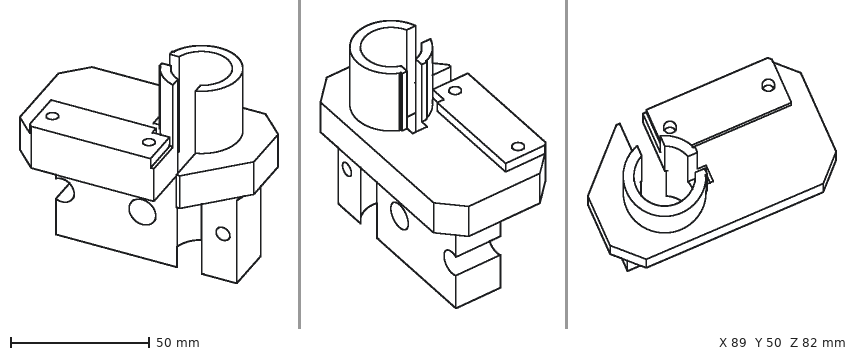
import cadquery as cq
import math

plate_length = 89.0
plate_width = 50.0
plate_thickness = 14.15
left_chamfer = 9.1
back_right_chamfer = 10.0
front_right_chamfer = 20.0

foot_height = 40.8
foot_left = 9.2
foot_right = 82.1
foot_front = 20.0
foot_back = 40.0
gusset_size = 4.8
cross_hole_z = 19.9
cross_holes = [(11.6, 10.0), (44.05, 10.8), (76.5, 5.5)]

total_height = 82.0
tube_x = 63.0
tube_y = 30.0
tube_diameter = 30.0
bore_diameter = 22.25
slit_width = 9.1

flat_width = 12.5
strip_width = 11.0
strip_reach = 14.4
key_width = 6.5
key_reach = 17.8

pad_height = 4.0
pad_left = 7.9
pad_right = 57.1
pad_back = 18.7
pad_notch_length = 6.9
pad_notch_width = 3.0
pad_hole_diameter = 4.5
pad_hole_depth = 10.0
pad_hole_y = 9.4
pad_hole_xs = [13.0, 51.9]

plate_top = foot_height + plate_thickness
pad_top = plate_top + pad_height


def box(x_range, y_range, z_range):
    """Box between two limits along each axis."""
    (x0, x1), (y0, y1), (z0, z1) = x_range, y_range, z_range
    return cq.Workplane("XY").box(x1 - x0, y1 - y0, z1 - z0, centered=False).translate((x0, y0, z0))


def cylinder(x, y, diameter, z_bottom, z_top):
    """Vertical cylinder."""
    disc = cq.Workplane("XY", origin=(x, y, z_bottom)).circle(diameter / 2)
    return disc.extrude(z_top - z_bottom)


def chamfered_plate(height):
    """Plate outline with cut corners, extruded up from the underside of the plate."""
    points = [
        (left_chamfer, 0),
        (plate_length - front_right_chamfer, 0),
        (plate_length, front_right_chamfer),
        (plate_length, plate_width - back_right_chamfer),
        (plate_length - back_right_chamfer, plate_width),
        (left_chamfer, plate_width),
        (0, plate_width - left_chamfer),
        (0, left_chamfer),
    ]
    return cq.Workplane("XY").workplane(offset=foot_height).polyline(points).close().extrude(height)


def foot():
    """Foot block with a sloped gusset under the plate and holes along Y."""
    points = [
        (foot_left, 0),
        (foot_right, 0),
        (foot_right, foot_height - gusset_size),
        (foot_right + gusset_size, foot_height),
        (foot_left, foot_height),
    ]
    profile = cq.Workplane("XZ", origin=(0, foot_back, 0)).polyline(points).close()
    block = profile.extrude(foot_back - foot_front)
    for x, diameter in cross_holes:
        hole = cq.Workplane("XZ", origin=(x, foot_back, cross_hole_z)).circle(diameter / 2)
        block = block.cut(hole.extrude(foot_back - foot_front))
    return block


def pad():
    """Raised pad, notched at its back right corner and trimmed to the plate outline."""
    notch_left = pad_right - pad_notch_length
    notch_front = pad_back - pad_notch_width
    block = box((pad_left, pad_right), (0, pad_back), (plate_top, pad_top))
    block = block.cut(box((notch_left, pad_right), (notch_front, pad_back), (plate_top, pad_top)))
    return block.intersect(chamfered_plate(plate_thickness + pad_height))


def left_face_box(reach_range, width):
    """Box left of the tube axis, centred on it in Y and as tall as the tube above the plate."""
    near, far = reach_range
    return box(
        (tube_x - far, tube_x - near),
        (tube_y - width / 2, tube_y + width / 2),
        (plate_top, total_height),
    )


def tube():
    """Tube blank with a narrow flat on its left and a raised strip on that flat."""
    flat_reach = math.sqrt((tube_diameter / 2) ** 2 - (flat_width / 2) ** 2)
    blank = cylinder(tube_x, tube_y, tube_diameter, plate_top, total_height)
    flattened = blank.cut(left_face_box((flat_reach, tube_diameter), flat_width))
    return flattened.union(left_face_box((0, strip_reach), strip_width))


def clamp_opening():
    """Bore through the full height together with the slit to the front."""
    slit = box((tube_x - slit_width / 2, tube_x + slit_width / 2), (0, tube_y), (0, total_height))
    return cylinder(tube_x, tube_y, bore_diameter, 0, total_height).union(slit)


def keyway():
    """Slot through the tube wall that continues through the plate down to the foot."""
    return box(
        (tube_x - key_reach, tube_x),
        (tube_y - key_width / 2, tube_y + key_width / 2),
        (foot_height, total_height),
    )


result = chamfered_plate(plate_thickness).union(foot()).union(pad()).union(tube())
result = result.cut(clamp_opening()).cut(keyway())
for pad_hole_x in pad_hole_xs:
    pad_hole = cylinder(pad_hole_x, pad_hole_y, pad_hole_diameter, pad_top - pad_hole_depth, pad_top)
    result = result.cut(pad_hole)